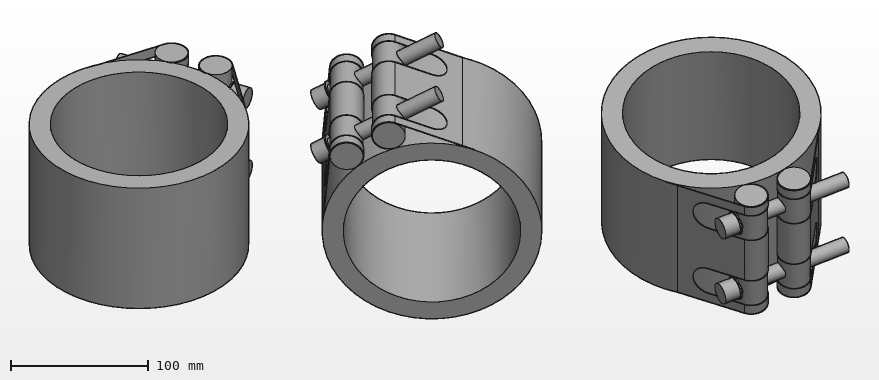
import cadquery as cq
import math

sleeve_diameter = 159.8
bore_diameter = 129.0
height = 108.0
overall_depth = 182.7

strap_thickness = 0.5
strap_edge_inset = 0.5
pin_diameter = 24.0
pin_offset_x = 17.9

slot_width = 24.5
slot_end_y = 64.5
slot_clearance = 1.8

bolt_diameter = 12.0
bolt_offset_z = 32.5
bolt_tip_x = -60.6
head_diameter = 16.0
head_end_x = 43.7
washer_diameter = 18.0
washer_thickness = 1.1

sleeve_radius = sleeve_diameter / 2
pin_radius = pin_diameter / 2
wrap_radius = pin_radius + strap_thickness
pin_y = overall_depth - sleeve_radius - wrap_radius
strap_height = height - 2 * strap_edge_inset
bolt_heights = (-bolt_offset_z, bolt_offset_z)

pin_distance = math.hypot(pin_offset_x, pin_y)
pin_angle = math.atan2(pin_y, pin_offset_x)
tangent_angle = pin_angle - math.acos((sleeve_radius - wrap_radius) / pin_distance)
contact_angle = pin_angle + math.pi


def sleeve_point(radius, angle):
    return (radius * math.cos(angle), radius * math.sin(angle))


def pin_point(radius, angle):
    x, y = sleeve_point(radius, angle)
    return (pin_offset_x + x, pin_y + y)


def make_slot(z):
    """Slot cutter square to the straight strap run, open past the pin."""
    normal = cq.Vector(math.cos(tangent_angle), math.sin(tangent_angle), 0)
    along = cq.Vector(-normal.y, normal.x, 0)
    start_x, start_y = sleeve_point(sleeve_radius, tangent_angle)
    end_distance = (slot_end_y - start_y) / along.y
    origin = cq.Vector(start_x, start_y, z) + along * end_distance + normal * slot_clearance
    plane = cq.Plane(origin=origin, xDir=along, normal=normal)
    half_width = slot_width / 2
    length = pin_distance
    depth = 2 * wrap_radius + 2 * slot_clearance
    return (
        cq.Workplane(plane)
        .moveTo(half_width, -half_width)
        .threePointArc((0, 0), (half_width, half_width))
        .lineTo(length, half_width)
        .lineTo(length, -half_width)
        .close()
        .extrude(-depth)
    )


def make_strap_end():
    """Strap leaving the sleeve and passing over the +X pin to the sleeve again."""
    middle_angle = (tangent_angle + contact_angle) / 2
    strap = (
        cq.Workplane("XY")
        .workplane(offset=-strap_height / 2)
        .moveTo(*sleeve_point(sleeve_radius, tangent_angle))
        .lineTo(*pin_point(wrap_radius, tangent_angle))
        .threePointArc(pin_point(wrap_radius, middle_angle), pin_point(wrap_radius, contact_angle))
        .lineTo(*pin_point(pin_radius, contact_angle))
        .threePointArc(pin_point(pin_radius, middle_angle), pin_point(pin_radius, tangent_angle))
        .lineTo(*sleeve_point(sleeve_radius - strap_thickness, tangent_angle))
        .close()
        .extrude(strap_height)
    )
    for z in bolt_heights:
        strap = strap.cut(make_slot(z))
    return strap


def make_pin():
    return cq.Workplane("XY").center(pin_offset_x, pin_y).circle(pin_radius).extrude(height / 2, both=True)


def rod_along_x(diameter, start_x, end_x, z):
    return (
        cq.Workplane("YZ", origin=(start_x, pin_y, z))
        .circle(diameter / 2)
        .extrude(end_x - start_x)
    )


def make_bolt(z):
    washer_start_x = pin_offset_x + wrap_radius
    washer_end_x = washer_start_x + washer_thickness
    shank = rod_along_x(bolt_diameter, bolt_tip_x, washer_end_x, z)
    washer = rod_along_x(washer_diameter, washer_start_x, washer_end_x, z)
    head = rod_along_x(head_diameter, washer_end_x, head_end_x, z)
    return shank.union(washer).union(head)


sleeve = (
    cq.Workplane("XY")
    .circle(sleeve_radius)
    .circle(bore_diameter / 2)
    .extrude(height / 2, both=True)
)

clamp_side = make_strap_end().union(make_pin())
result = sleeve.union(clamp_side).union(clamp_side.mirror("YZ"))
for bolt_z in bolt_heights:
    result = result.union(make_bolt(bolt_z))